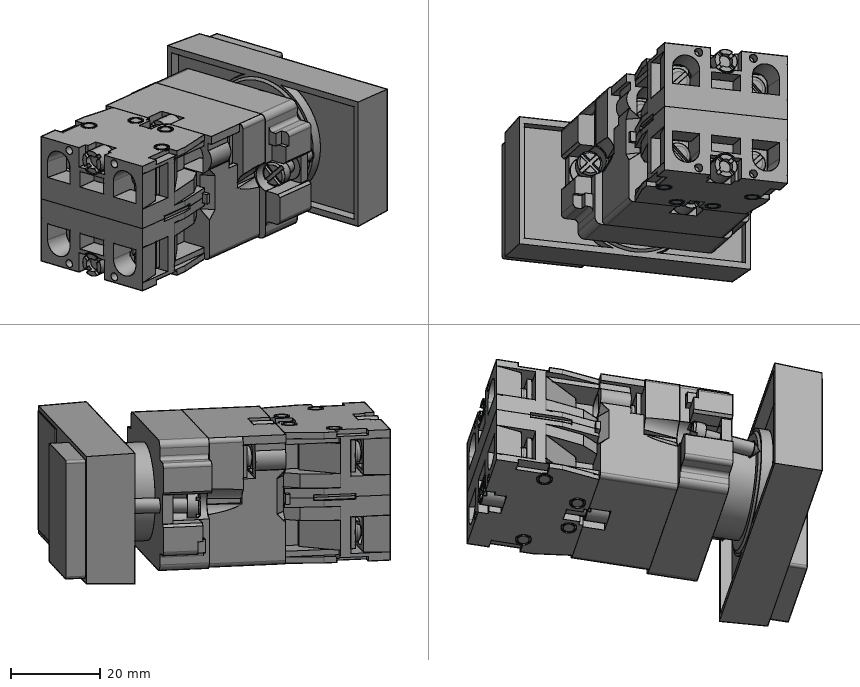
import cadquery as cq
import math


overall_length = 76.5
contact_front = 23.95
carrier_front = 41.8
lug_back = 42.0
collar_front = 53.1
ring_back = 60.5
bezel_back = 61.05
bezel_front = 72.1

half_height = 15.0
half_width = 14.6

bezel_width = 55.0
bezel_front_width = 54.1
bezel_front_height = 29.2
bezel_pocket_width = 52.6
bezel_pocket_height = 27.1
bezel_pocket_depth = 2.6
pad_outer_x = 26.2
pad_inner_x = 6.8
pad_half_height = 13.6
button_corner = 0.6
plate_thickness = 0.27
ring_radius = 14.5
ring_nose_radius = 13.3
ring_nose_base_radius = 13.9
tube_radius = 11.1

collar_half_width = 16.4
collar_corner = 1.6
lug_outer_x = 20.35
lug_low_z = 3.4
lug_high_z = 10.6
lug_round = 1.0
lug_bevel = 0.6
short_lug_back = 44.1
lug_step_x = 18.3
lug_step_z = 7.6
lug_step_y = 45.1
lug_tongue_back = 43.1
web_outer_x = 19.35
web_back = 50.65

screw_tip_x = -14.1
screw_tip_y = 60.75
screw_tilt = 9.0
screw_radius = 1.7
screw_cone_radius = 2.0
screw_cone_length = 2.0
screw_head_start = 14.1
screw_length = 17.0
screw_head_radius = 2.8
screw_head_chamfer = 0.45
drive_slot_width = 0.9
drive_slot_depth = 0.9
collar_bore_radius = 3.4
carrier_bore_radius = 3.7
bore_end = 29.1

carrier_corner = 1.0
carrier_rib_back = 34.0
carrier_rib_x = 16.15
carrier_rib_low_z = 0.7
guide_slot_low_z = -0.6
guide_slot_x = 13.2
carrier_rib_corner = 1.1
carrier_rail_x = 15.15
carrier_rail_z = 13.1
window_depth_x = 6.3
carrier_window_low_z = 5.1
access_back_x = 14.2
access_low_z = 6.9
access_front = 30.9
access_tube_radius = 3.2
access_tube_x = 11.9
access_tube_z = 9.1
bevel_front = 25.9
bevel_depth = 2.7
bevel_low_z = -5.3
bevel_high_z = 6.9
tab_back = 22.95
tab_inner_x = 11.5
tab_half_height = 1.15

clamp_radius = 2.6
clamp_z = half_height - clamp_radius
clamp_head_length = 5.05
clamp_socket_radius = 1.5
clamp_socket_depth = 1.5
clamp_slot_width = 0.85
clamp_slot_depth = 0.8
clamp_shank_radius = 1.7
clamp_shank_back = 19.1
clamp_pocket_half_width = 2.9
clamp_mouth_half_width = 3.7
clamp_mouth_z = 10.3
clamp_mouth_depth = 2.3
carrier_pocket_half_width = 3.2
shank_mouth_half_width = 2.7

terminal_x = 9.5
terminal_radius = 3.2
terminal_arc_z = 9.4
terminal_floor_z = 5.6
terminal_depth = 9.0
terminal_narrowing = 1.0
terminal_window_low_z = 4.7
terminal_screw_z = 8.8
terminal_screw_x = 8.95
terminal_head_radius = 2.8
terminal_head_height = 1.6
terminal_head_round = 1.0
terminal_plate_thickness = 1.1
terminal_plate_gap = 0.4
terminal_shank_radius = 1.8
terminal_plate_half_height = 3.7
carrier_plate_x = 13.4
block_plate_x = 12.5
terminal_slot_depth = 0.9

block_taper_y = 15.2
block_end_half_width = 13.15
label_window = (3.45, 5.6, 9.3)
pin_hole_radius = 0.9
pin_hole_x = 6.5
pin_hole_z = 13.6
pin_hole_depth = 2.3
dimple_outer_radius = 1.75
dimple_inner_radius = 1.3
dimple_depth = 0.4
dimple_places = ((4.3, 21.0), (10.5, 12.0))
corner_notch_x = 12.3
corner_notch_depth = 1.1
corner_notch_y = (5.05, 12.25)
ramp_depth = 1.1
cavity_back = 11.4
cavity_low_z = 2.15
cavity_floor_z = 5.35
cavity_roof_z = 12.25
cavity_top_z = 13.55
cavity_step_y = 20.35
cavity_step_x = 13.0
cavity_inner_x = 10.9
cavity_deep_y = 19.65
cavity_deep_x = 7.3
cavity_slope_x = 8.7
strip_x = 13.1
seam_slot_y = (7.9, 17.45)
seam_slot_z = 0.65
seam_slot_x = 13.8

clearance = 6.1


def block(x, y, z):
    """A box from three (low, high) ranges."""
    return cq.Workplane("XY").box(
        x[1] - x[0], y[1] - y[0], z[1] - z[0], centered=False
    ).translate((x[0], y[0], z[0]))


def section_plane(y):
    """A plane across Y whose local axes are X and Z."""
    return cq.Workplane("XZ", origin=(0, y, 0))


def rod(radius, x, z, y):
    """A cylinder along Y over the range y."""
    return section_plane(y[0]).center(x, z).circle(radius).extrude(y[0] - y[1])


def cone(back_radius, front_radius, back, front):
    """A cone on the Y axis."""
    return cq.Workplane(
        cq.Solid.makeCone(back_radius, front_radius, front - back, cq.Vector(0, back, 0), cq.Vector(0, 1, 0))
    )


def both_sides(shape):
    """The shape together with its mirror image across X = 0."""
    return shape.union(shape.mirror("YZ"))


def top_and_bottom(shape):
    """The shape together with its copy turned half round the Y axis."""
    return shape.union(half_turn(shape))


def half_turn(shape):
    return shape.rotate((0, 0, 0), (0, 1, 0), 180)


def diagonal_slot(length, width, x, z, y, angle):
    """A straight slot across Y, turned by an angle about the Y direction."""
    slot = block((-length / 2, length / 2), y, (-width / 2, width / 2))
    return slot.rotate((0, 0, 0), (0, 1, 0), angle).translate((x, 0, z))




def make_head():
    """Bezel with its button, name plate, sealing ring and mounting tube."""
    bezel = (
        section_plane(bezel_back)
        .rect(bezel_width, 2 * half_height)
        .workplane(offset=bezel_back - bezel_front)
        .rect(bezel_front_width, bezel_front_height)
        .loft(ruled=True)
    )
    floor_y = bezel_back + bezel_pocket_depth
    pocket = block(
        (-bezel_pocket_width / 2, bezel_pocket_width / 2),
        (bezel_back, floor_y),
        (-bezel_pocket_height / 2, bezel_pocket_height / 2),
    )
    pad_z = (-pad_half_height, pad_half_height)
    button = block((-pad_outer_x, -pad_inner_x), (bezel_front, overall_length), pad_z)
    button = button.edges("|Y").fillet(button_corner)
    plate = block((pad_inner_x, pad_outer_x), (bezel_front, bezel_front + plate_thickness), pad_z)
    ring = rod(ring_radius, 0, 0, (bezel_back, floor_y))
    ring = ring.union(cone(ring_nose_radius, ring_nose_base_radius, ring_back, bezel_back))
    tube = rod(tube_radius, 0, 0, (collar_front, floor_y))
    return bezel.cut(pocket).union(button).union(plate).union(ring).union(tube)




def place_on_screw_axis(shape):
    """Move a shape built along Y, with its tip at the origin, onto the left screw axis."""
    return shape.rotate((0, 0, 0), (0, 0, 1), -screw_tilt).translate((screw_tip_x, screw_tip_y, 0))


def make_fixing_screw():
    shank = rod(screw_radius, 0, 0, (-screw_head_start, -screw_cone_length))
    tip = cone(screw_cone_radius, 0, -screw_cone_length, 0)
    head = rod(screw_head_radius, 0, 0, (-screw_length, -screw_head_start))
    head = head.edges("<Y").chamfer(screw_head_chamfer)
    slot_y = (-screw_length, -screw_length + drive_slot_depth)
    for angle in (45, -45):
        head = head.cut(diagonal_slot(2 * screw_head_radius, drive_slot_width, 0, 0, slot_y, angle))
    return place_on_screw_axis(shank.union(tip).union(head))


def make_screw_bore(radius):
    """Clearance for the screw head and for the tool that turns it."""
    bore_start = (screw_tip_y - web_back) / math.cos(math.radians(screw_tilt))
    return place_on_screw_axis(rod(radius, 0, 0, (-bore_end, -bore_start)))


def make_lug(back):
    """Upper left lug, blended into the collar side by a hollow round."""
    blend = lug_round * math.sqrt(0.5)
    return (
        section_plane(back)
        .moveTo(-collar_half_width + lug_round, lug_high_z + lug_round)
        .lineTo(-collar_half_width, lug_high_z + lug_round)
        .threePointArc(
            (-collar_half_width - lug_round + blend, lug_high_z + lug_round - blend),
            (-collar_half_width - lug_round, lug_high_z),
        )
        .lineTo(-lug_outer_x + lug_round, lug_high_z)
        .threePointArc(
            (-lug_outer_x + lug_round - blend, lug_high_z - lug_round + blend),
            (-lug_outer_x, lug_high_z - lug_round),
        )
        .lineTo(-lug_outer_x, lug_low_z + lug_bevel)
        .lineTo(-lug_outer_x + lug_bevel, lug_low_z)
        .lineTo(-collar_half_width + lug_round, lug_low_z)
        .close()
        .extrude(back - collar_front)
    )


def make_short_lug():
    """Upper left form of the lug that stops short and carries a stepped tongue."""
    lug = make_lug(short_lug_back)
    corner = block(
        (-lug_outer_x, -lug_step_x), (short_lug_back, lug_step_y), (lug_step_z, lug_high_z)
    )
    tongue_zone = block((-lug_step_x, 0), (lug_tongue_back, lug_step_y), (lug_step_z, half_height))
    tongue = make_lug(lug_tongue_back).intersect(tongue_zone)
    return lug.cut(corner).union(tongue)


def make_collar():
    """Mounting collar with four side lugs and two captive fixing screws."""
    depth = (carrier_front, collar_front)
    body = block((-collar_half_width, collar_half_width), depth, (-half_height, half_height))
    body = body.edges("|Y").fillet(collar_corner)
    web = block((-web_outer_x, web_outer_x), (web_back, collar_front), (-lug_low_z, lug_low_z))
    body = body.union(web)
    body = body.union(top_and_bottom(make_lug(lug_back)))
    body = body.union(top_and_bottom(make_short_lug().mirror("YZ")))
    body = body.cut(both_sides(make_screw_bore(collar_bore_radius)))
    return body.union(both_sides(make_fixing_screw()))




def make_terminal_hole(y, narrowing):
    """Left terminal opening with a round top; its outer wall leans inward by the narrowing."""

    def outline(plane, radius, x):
        return (
            plane.moveTo(x - radius, terminal_floor_z)
            .lineTo(x + radius, terminal_floor_z)
            .lineTo(x + radius, terminal_arc_z)
            .threePointArc((x, terminal_arc_z + radius), (x - radius, terminal_arc_z))
            .close()
        )

    half_narrowing = narrowing / 2
    mouth = outline(section_plane(y[0]), terminal_radius, -terminal_x)
    hole = outline(
        mouth.workplane(offset=y[0] - y[1]),
        terminal_radius - half_narrowing,
        -terminal_x + half_narrowing,
    )
    return hole.loft(ruled=True)


def make_terminal_screw(back_wall, plate_x):
    """Left slotted screw on its clamping plate, standing on the wall at y = back_wall."""
    plate_front = back_wall - terminal_plate_gap
    plate_y = plate_front - terminal_plate_thickness
    head_y = plate_y - terminal_head_height
    plate = block(
        (-plate_x, -window_depth_x),
        (plate_y, plate_front),
        (terminal_screw_z - terminal_plate_half_height, terminal_screw_z + terminal_plate_half_height),
    )
    shank = rod(terminal_shank_radius, -terminal_screw_x, terminal_screw_z, (plate_front, back_wall))
    head = rod(terminal_head_radius, -terminal_screw_x, terminal_screw_z, (head_y, plate_y))
    head = head.faces("<Y").edges().fillet(terminal_head_round)
    slot = diagonal_slot(
        2 * terminal_head_radius,
        drive_slot_width,
        -terminal_screw_x,
        terminal_screw_z,
        (head_y, head_y + terminal_slot_depth),
        -45,
    )
    return plate.union(shank).union(head.cut(slot))


def make_clamp_head(back):
    """Head of the upper clamping screw, with a round socket and crossed slots."""
    head = rod(clamp_radius, 0, clamp_z, (back, back + clamp_head_length))
    head = head.cut(rod(clamp_socket_radius, 0, clamp_z, (back, back + clamp_socket_depth)))
    for angle in (45, -45):
        slot_y = (back, back + clamp_slot_depth)
        head = head.cut(diagonal_slot(2 * clamp_radius, clamp_slot_width, 0, clamp_z, slot_y, angle))
    return head


def make_clamp_pocket(half_width, back):
    """Round-bottomed pocket, open at the top, around the upper clamping screw head."""
    depth = (back, back + clamp_head_length)
    trough = rod(half_width, 0, clamp_z, depth)
    return trough.union(block((-half_width, half_width), depth, (clamp_z, half_height + clearance)))




def make_carrier_tab():
    """Left locating tab that reaches into the contact blocks."""
    return block(
        (-half_width, -tab_inner_x), (tab_back, contact_front), (-tab_half_height, tab_half_height)
    )


def make_shank():
    """Shank of the upper clamping screw, reaching into the contact block."""
    return rod(clamp_shank_radius, 0, clamp_z, (clamp_shank_back, contact_front))


def make_rear_bevel():
    """Sloping hollow at the back end of the left side face."""
    slope = bevel_front - contact_front
    inner_low_z = bevel_low_z + slope
    inner_high_z = bevel_high_z - slope
    edge_low = (-half_width, contact_front, bevel_low_z)
    edge_high = (-half_width, contact_front, bevel_high_z)
    front_low = (-half_width, bevel_front, inner_low_z)
    front_high = (-half_width, bevel_front, inner_high_z)
    deep_low = (-half_width + bevel_depth, contact_front, inner_low_z)
    deep_high = (-half_width + bevel_depth, contact_front, inner_high_z)
    outlines = (
        (edge_low, front_low, deep_low),
        (edge_high, deep_high, front_high),
        (edge_low, edge_high, front_high, front_low),
        (edge_low, deep_low, deep_high, edge_high),
        (front_low, front_high, deep_high, deep_low),
    )
    faces = []
    for outline in outlines:
        corners = [cq.Vector(*corner) for corner in outline]
        faces.append(cq.Face.makeFromWires(cq.Wire.makePolygon(corners, close=True)))
    return cq.Workplane(cq.Solid.makeSolid(cq.Shell.makeShell(faces)))


def make_access_tube():
    """Rounded wall that bulges from the left side around the wire opening."""
    tube = rod(access_tube_radius, -access_tube_x, access_tube_z, (contact_front, access_front))
    bulge_zone = block(
        (-carrier_rib_x, -access_tube_x), (contact_front, access_front), (access_low_z, carrier_rail_z)
    )
    return tube.intersect(bulge_zone)


def make_guide_slot():
    """Left slot under the rib."""
    slot_z = (guide_slot_low_z, carrier_rib_low_z)
    return block((-carrier_rib_x, -guide_slot_x), (carrier_rib_back, carrier_front), slot_z)


def make_carrier_terminal_cut():
    """Side recess, window and wire opening of the upper left terminal."""
    outside_x = -half_width - clearance
    window_z = (carrier_window_low_z, carrier_rail_z)
    recess_z = (access_low_z, carrier_rail_z)
    window = block((outside_x, -window_depth_x), (access_front, carrier_rib_back), window_z)
    recess = block((outside_x, -access_back_x), (contact_front, access_front), recess_z)
    wire_opening = make_terminal_hole((contact_front, access_front), terminal_narrowing)
    return window.union(recess).cut(make_access_tube()).union(wire_opening)


def make_carrier():
    """Carrier that joins the collar to both contact blocks."""
    length = (contact_front, carrier_front)
    body = block((-half_width, half_width), length, (-half_height, half_height))
    body = body.edges("|Y and <Z").fillet(carrier_corner)
    rail = block((-carrier_rail_x, carrier_rail_x), length, (carrier_rail_z, half_height))
    rib_z = (carrier_rib_low_z, half_height)
    rib = block((-carrier_rib_x, carrier_rib_x), (carrier_rib_back, carrier_front), rib_z)
    rib = rib.edges("|Y and >Z").fillet(carrier_rib_corner)
    body = body.union(rail).union(rib).union(both_sides(make_access_tube()))
    body = body.cut(both_sides(make_carrier_terminal_cut()))
    body = body.cut(both_sides(make_guide_slot()))
    body = body.cut(both_sides(make_rear_bevel()))
    body = body.cut(both_sides(make_screw_bore(carrier_bore_radius)))
    body = body.cut(top_and_bottom(make_clamp_pocket(carrier_pocket_half_width, contact_front)))
    body = body.union(top_and_bottom(make_clamp_head(contact_front).union(make_shank())))
    body = body.union(both_sides(make_terminal_screw(carrier_rib_back, carrier_plate_x)))
    return body.union(both_sides(make_carrier_tab()))




def make_side_cavity():
    """Left contact cavity, open at the side and at the front end of the block."""
    outside_x = -half_width - clearance

    def layer(points, z):
        outline = [(outside_x, cavity_back), *points, (outside_x, contact_front)]
        return cq.Workplane("XY", origin=(0, 0, z[0])).polyline(outline).close().extrude(z[1] - z[0])

    step = layer(
        [(-half_width, cavity_back), (-cavity_step_x, cavity_step_y), (-cavity_inner_x, contact_front)],
        (cavity_low_z, cavity_floor_z),
    )
    deep = layer(
        [
            (-half_width, cavity_back),
            (-cavity_slope_x, cavity_deep_y),
            (-cavity_deep_x, cavity_deep_y),
            (-cavity_deep_x, contact_front),
        ],
        (cavity_floor_z, cavity_roof_z),
    )
    strip = layer(
        [(-strip_x, cavity_back), (-strip_x, contact_front)], (cavity_roof_z, cavity_top_z)
    )
    return step.union(deep).union(strip)


def make_side_window():
    """Left terminal window with a ramp that runs out at the back face."""
    window_back = terminal_depth - terminal_plate_gap - terminal_plate_thickness - terminal_head_height
    window_z = (terminal_window_low_z, carrier_rail_z)
    window = block((-half_width, -window_depth_x), (window_back, terminal_depth), window_z)
    ramp = (
        cq.Workplane("XY", origin=(0, 0, window_z[0]))
        .moveTo(-half_width, 0)
        .lineTo(-half_width, window_back)
        .lineTo(-half_width + ramp_depth, window_back)
        .close()
        .extrude(window_z[1] - window_z[0])
    )
    return window.union(ramp)


def make_dimple(x, y):
    """Ring-shaped groove in the top face."""
    return (
        cq.Workplane("XY", origin=(x, y, half_height - dimple_depth))
        .circle(dimple_outer_radius)
        .circle(dimple_inner_radius)
        .extrude(dimple_depth)
    )


def make_left_block_cuts():
    """Everything cut from the left half of the block and repeated on the right."""
    cuts = make_side_cavity().union(make_side_window())
    cuts = cuts.union(make_terminal_hole((0, terminal_depth), terminal_narrowing))
    cuts = cuts.union(rod(pin_hole_radius, -pin_hole_x, pin_hole_z, (0, pin_hole_depth)))
    for x, y in dimple_places:
        cuts = cuts.union(make_dimple(-x, y))
    notch_z = (half_height - corner_notch_depth, half_height)
    cuts = cuts.union(block((-half_width, -corner_notch_x), corner_notch_y, notch_z))
    cuts = cuts.union(block((-half_width, -seam_slot_x), seam_slot_y, (0, seam_slot_z)))
    return cuts.union(make_carrier_tab())


def make_shank_seat():
    """Slot for the carrier's clamping screw shank, with a wider mouth."""
    length = (clamp_shank_back, contact_front)
    above = (clamp_z, half_height)
    slot = block((-clamp_shank_radius, clamp_shank_radius), length, above)
    mouth = block((-shank_mouth_half_width, shank_mouth_half_width), (tab_back, contact_front), above)
    return make_shank().union(slot).union(mouth)


def make_contact_block():
    """Upper contact block."""
    body = (
        cq.Workplane("XY")
        .moveTo(-half_width, 0)
        .lineTo(half_width, 0)
        .lineTo(half_width, block_taper_y)
        .lineTo(block_end_half_width, contact_front)
        .lineTo(-block_end_half_width, contact_front)
        .lineTo(-half_width, block_taper_y)
        .close()
        .extrude(half_height)
    )
    body = body.cut(both_sides(make_left_block_cuts())).cut(make_shank_seat())
    window_half_width, window_low, window_high = label_window
    body = body.cut(
        block((-window_half_width, window_half_width), (0, clamp_head_length), (window_low, window_high))
    )
    mouth_x = (-clamp_mouth_half_width, clamp_mouth_half_width)
    mouth = block(mouth_x, (0, clamp_mouth_depth), (clamp_mouth_z, half_height))
    body = body.cut(make_clamp_pocket(clamp_pocket_half_width, 0)).cut(mouth)
    body = body.union(make_clamp_head(0))
    return body.union(both_sides(make_terminal_screw(terminal_depth, block_plate_x)))


head = make_head()
collar = make_collar()
carrier = make_carrier()
contact_blocks = []
for turn in (0, 180):
    contact_blocks.append(make_contact_block().rotate((0, 0, 0), (0, 1, 0), turn))

bodies = [head, collar, carrier, *contact_blocks]
result = cq.Compound.makeCompound([body.solids().val() for body in bodies])